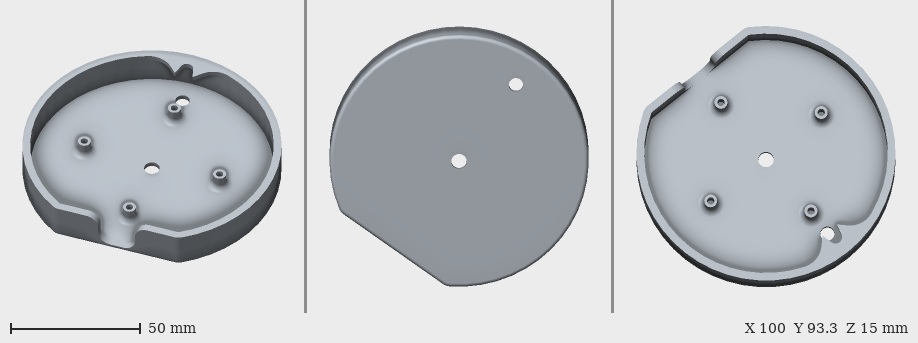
import cadquery as cq
import math

outer_radius = 50.0
height = 15.0
wall = 3.0
floor = 2.0
flat_y = -outer_radius * math.sin(math.radians(60))
flat_corner_radius = 5.0
bottom_edge_radius = 1.5
cavity_radius = outer_radius - wall
cavity_flat_y = flat_y + wall

notch_width = 15.0
notch_radius = 5.0

center_hole_diameter = 6.0
rear_hole_diameter = 5.5
rear_hole_y = 37.5

post_diameter = 5.0
post_top_z = 8.0
post_bore_diameter = 2.8
post_root_radius = 2.5
post_pitch_radius = 27.5
post_count = 4

tab_thickness = 2.0
tab_blend_radius = 9.5
tab_apex_y = 35.36
tab_edge_angle = math.radians(45)
slot_end_radius = 2.5
slot_end_y = 42.5
slot_side_tilt = math.radians(15)


def truncated_disc(radius, chord_y, depth):
    """Disc of the given depth, cut off by a straight chord parallel to X."""
    half_chord = math.sqrt(radius**2 - chord_y**2)
    return (
        cq.Workplane("XY")
        .moveTo(-half_chord, chord_y)
        .lineTo(half_chord, chord_y)
        .threePointArc((0, radius), (-half_chord, chord_y))
        .close()
        .extrude(depth)
    )


def make_dish():
    body = truncated_disc(outer_radius, flat_y, height)
    body = body.edges("|Z").fillet(flat_corner_radius)
    body = body.faces("<Z").edges().fillet(bottom_edge_radius)
    cavity = truncated_disc(cavity_radius, cavity_flat_y, height - floor)
    return body.cut(cavity.translate((0, 0, floor)))


def make_notch():
    """U-shaped opening, rounded at the floor and flared at the rim."""
    half_width = notch_width / 2
    r = notch_radius
    return (
        cq.Workplane("XZ", origin=(0, cavity_flat_y, 0))
        .moveTo(-half_width + r, floor)
        .lineTo(half_width - r, floor)
        .radiusArc((half_width, floor + r), -r)
        .lineTo(half_width, height - r)
        .radiusArc((half_width + r, height), r)
        .lineTo(-half_width - r, height)
        .radiusArc((-half_width, height - r), r)
        .lineTo(-half_width, floor + r)
        .radiusArc((-half_width + r, floor), -r)
        .close()
        .extrude(wall)
    )


def make_post():
    """Post on the Z axis with a concave root fillet and a blind bore down to the floor."""
    radius = post_diameter / 2
    bore_radius = post_bore_diameter / 2
    root_end = radius + post_root_radius
    root_top = floor + post_root_radius
    root_mid_offset = post_root_radius * (1 - math.sqrt(0.5))
    profile = (
        cq.Workplane("XZ")
        .moveTo(0, 0)
        .lineTo(root_end, 0)
        .lineTo(root_end, floor)
        .threePointArc((radius + root_mid_offset, floor + root_mid_offset), (radius, root_top))
        .lineTo(radius, post_top_z)
        .lineTo(bore_radius, post_top_z)
        .lineTo(bore_radius, floor)
        .lineTo(0, floor)
        .close()
    )
    return profile.revolve(360, (0, 0, 0), (0, 1, 0))


def make_tab():
    """Two-pronged tab whose straight edges blend tangentially into the cavity wall."""
    center_distance = cavity_radius - tab_blend_radius
    edge_distance = tab_apex_y * math.cos(tab_edge_angle) - tab_blend_radius
    blend_angle = math.acos(edge_distance / center_distance) - tab_edge_angle
    blend_x = center_distance * math.sin(blend_angle)
    blend_y = center_distance * math.cos(blend_angle)

    wall_scale = cavity_radius / center_distance
    wall_x = blend_x * wall_scale
    wall_y = blend_y * wall_scale
    edge_x = blend_x - tab_blend_radius * math.sin(tab_edge_angle)
    edge_y = blend_y + tab_blend_radius * math.cos(tab_edge_angle)

    side_x = slot_end_radius * math.cos(slot_side_tilt)
    side_y = slot_end_y + slot_end_radius * math.sin(slot_side_tilt)
    side_slope = math.tan(slot_side_tilt)
    edge_slope = math.tan(tab_edge_angle)
    tip_x = (side_x + side_slope * (side_y - tab_apex_y)) / (1 + side_slope * edge_slope)
    tip_y = tab_apex_y + tip_x * edge_slope

    wall_middle_scale = (outer_radius - wall / 2) / cavity_radius
    back_x = wall_x * wall_middle_scale
    back_y = wall_y * wall_middle_scale
    return (
        cq.Workplane("XY", origin=(0, 0, height - tab_thickness))
        .moveTo(wall_x, wall_y)
        .radiusArc((edge_x, edge_y), -tab_blend_radius)
        .lineTo(tip_x, tip_y)
        .lineTo(side_x, side_y)
        .threePointArc((0, slot_end_y + slot_end_radius), (-side_x, side_y))
        .lineTo(-tip_x, tip_y)
        .lineTo(-edge_x, edge_y)
        .radiusArc((-wall_x, wall_y), -tab_blend_radius)
        .lineTo(-back_x, back_y)
        .threePointArc((0, outer_radius - wall / 2), (back_x, back_y))
        .close()
        .extrude(tab_thickness)
    )


def make_floor_hole(diameter, y):
    return cq.Workplane("XY").center(0, y).circle(diameter / 2).extrude(floor)


result = make_dish().cut(make_notch()).union(make_tab())
for index in range(post_count):
    post = make_post().translate((post_pitch_radius, 0, 0))
    result = result.union(post.rotate((0, 0, 0), (0, 0, 1), index * 360 / post_count))
result = result.cut(make_floor_hole(center_hole_diameter, 0))
result = result.cut(make_floor_hole(rear_hole_diameter, rear_hole_y))